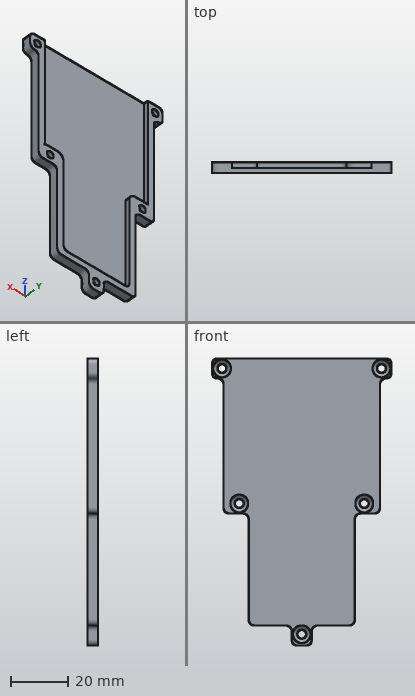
import math

import cadquery as cq

height = 100.0
thickness = 3.8
floor_thickness = 1.8
pocket_depth = thickness - floor_thickness
wall = 3.0

ear_half_width = 31.25
wide_half_width = 27.25
narrow_half_width = 18.5
tab_half_width = 3.5
ear_height = 7.0
tab_height = 7.0
wide_height = 54.0
corner_radius = 2.0

top_z = height / 2
bottom_z = -height / 2
ear_bottom_z = top_z - ear_height
wide_bottom_z = top_z - wide_height
narrow_bottom_z = bottom_z + tab_height

pocket_wide_half = wide_half_width - wall
pocket_narrow_half = narrow_half_width - wall
screw_land_height = 7.0
pocket_step_z = wide_bottom_z + screw_land_height
pocket_bottom_z = narrow_bottom_z + wall
pocket_corner_radius = 2.0
pocket_step_radius = 3.0

hole_diameter = 3.0
countersink_diameter = 6.2
countersink_angle = 90.0
ear_hole_inset = 3.5
step_hole_x = 21.75
step_hole_rise = 3.5
tab_hole_rise = 4.0

front_y = -thickness / 2
pocket_floor_y = front_y + floor_thickness


def toward(start, end, distance):
    """Return the point at a distance from start along the line to end."""
    share = distance / math.dist(start, end)
    return (start[0] + share * (end[0] - start[0]), start[1] + share * (end[1] - start[1]))


def symmetric_prism(right_side, start_y, depth):
    """Mirror a top-to-bottom chain of right-angle (x, z, radius) corners about X = 0, extrude along +Y."""
    left_side = [(-x, z, radius) for x, z, radius in reversed(right_side)]
    corners = right_side + left_side
    outline = cq.Workplane("XZ", origin=(0, start_y, 0)).moveTo(0, right_side[0][1])
    pen = (0, right_side[0][1])
    for index, (x, z, radius) in enumerate(corners):
        corner = (x, z)
        before = corners[index - 1][:2]
        after = corners[(index + 1) % len(corners)][:2]
        arc_start = toward(corner, before, radius)
        if not math.isclose(math.dist(pen, arc_start), 0, abs_tol=1e-6):
            outline = outline.lineTo(*arc_start)
        pen = arc_start
        if radius > 0:
            arc_end = toward(corner, after, radius)
            chord_middle = toward(arc_start, arc_end, math.dist(arc_start, arc_end) / 2)
            arc_middle = toward(corner, chord_middle, radius * (math.sqrt(2) - 1))
            outline = outline.threePointArc(arc_middle, arc_end)
            pen = arc_end
    return outline.close().extrude(-depth)


def make_plate():
    right_side = [
        (ear_half_width, top_z, corner_radius),
        (ear_half_width, ear_bottom_z, corner_radius),
        (wide_half_width, ear_bottom_z, corner_radius),
        (wide_half_width, wide_bottom_z, corner_radius),
        (narrow_half_width, wide_bottom_z, corner_radius),
        (narrow_half_width, narrow_bottom_z, corner_radius),
        (tab_half_width, narrow_bottom_z, corner_radius),
        (tab_half_width, bottom_z, corner_radius),
    ]
    return symmetric_prism(right_side, front_y, thickness)


def make_pocket():
    right_side = [
        (pocket_wide_half, top_z, 0),
        (pocket_wide_half, pocket_step_z, 0),
        (pocket_narrow_half, pocket_step_z, pocket_step_radius),
        (pocket_narrow_half, pocket_bottom_z, pocket_corner_radius),
    ]
    return symmetric_prism(right_side, pocket_floor_y, pocket_depth)


def cut_screw_holes(body):
    centers = [(0, bottom_z + tab_hole_rise)]
    for side in (-1, 1):
        centers.append((side * (ear_half_width - ear_hole_inset), top_z - ear_hole_inset))
        centers.append((side * step_hole_x, wide_bottom_z + step_hole_rise))
    front_face = cq.Workplane("XZ", origin=(0, front_y, 0))
    return (
        body.copyWorkplane(front_face)
        .pushPoints(centers)
        .cskHole(hole_diameter, countersink_diameter, countersink_angle)
    )


result = cut_screw_holes(make_plate().cut(make_pocket()))